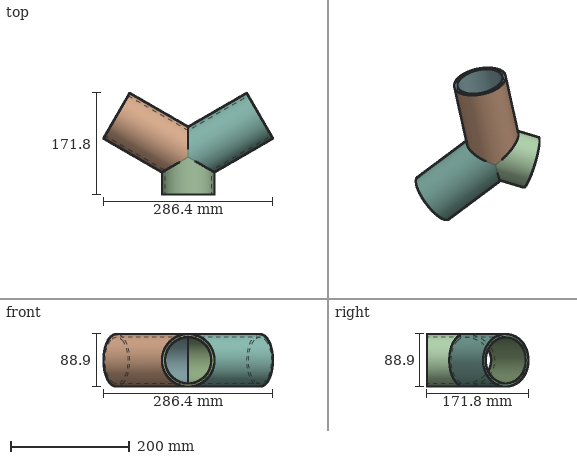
import cadquery as cq

OUTER_DIAMETER = 88.9
BORE_DIAMETER = 77.93
STEM_LENGTH = 63.5
BRANCH_LENGTH = 139.7

STEM_ANGLE = -90
BRANCH_ANGLES = (30, 150)

PIPES = [(STEM_ANGLE, STEM_LENGTH)] + [(angle, BRANCH_LENGTH) for angle in BRANCH_ANGLES]


def rod(diameter, length, angle):
    """Solid cylinder running from the junction centre along the given angle."""
    along_x = cq.Workplane("YZ").circle(diameter / 2).extrude(length)
    return along_x.rotate((0, 0, 0), (0, 0, 1), angle)


def three_way(diameter):
    """Three rods of equal diameter joined at the origin, meeting in mitred seams."""
    body = cq.Workplane("XY")
    for angle, length in PIPES:
        body = body.union(rod(diameter, length, angle))
    return body


result = three_way(OUTER_DIAMETER).cut(three_way(BORE_DIAMETER))